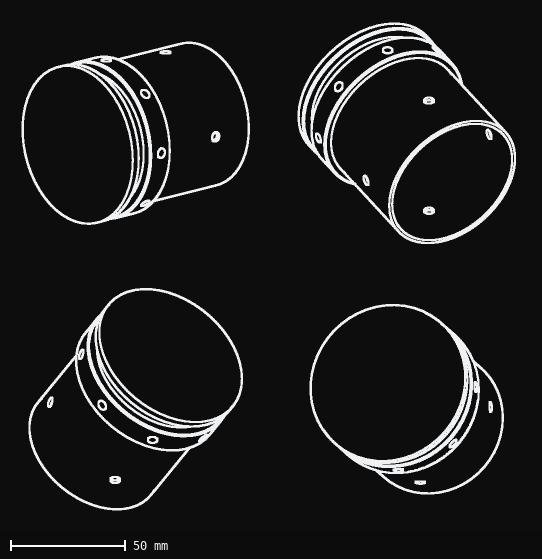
import cadquery as cq

length = 72.5
flange_radius = 34.98
body_radius = 31.8
groove_radius = 30.7
wall = 1.5
bore_radius = body_radius - wall
floor_thickness = 13.05

rim_end = 4.05
collar_start = 10.6
collar_end = 22.6
edge_chamfer = 0.5

hole_diameter = 4.2
collar_hole_y = 17.1
collar_hole_count = 8
body_hole_y = 52.6
body_hole_count = 4


def disc(radius, start, end):
    """Solid cylinder along Y between two stations."""
    return cq.Workplane("XZ", origin=(0, start, 0)).circle(radius).extrude(start - end)


def radial_holes(count, station):
    """Evenly spaced cutters running from the axis out past the flange."""
    cutters = cq.Workplane("XY")
    for index in range(count):
        cutter = (
            cq.Workplane("XY", origin=(0, station, 0))
            .circle(hole_diameter / 2)
            .extrude(flange_radius + hole_diameter)
            .rotate((0, 0, 0), (0, 1, 0), index * 360 / count)
        )
        cutters = cutters.add(cutter)
    return cutters.combine()


rim = disc(flange_radius, 0, rim_end).faces(">Y").chamfer(edge_chamfer)
collar = disc(flange_radius, collar_start, collar_end).faces("<Y or >Y").chamfer(edge_chamfer)
groove_core = disc(groove_radius, 0, collar_end)
barrel = disc(body_radius, collar_start, length)
outer = rim.union(groove_core).union(collar).union(barrel)

cup = outer.cut(disc(bore_radius, floor_thickness, length))

cup = cup.cut(radial_holes(collar_hole_count, collar_hole_y))
result = cup.cut(radial_holes(body_hole_count, body_hole_y))